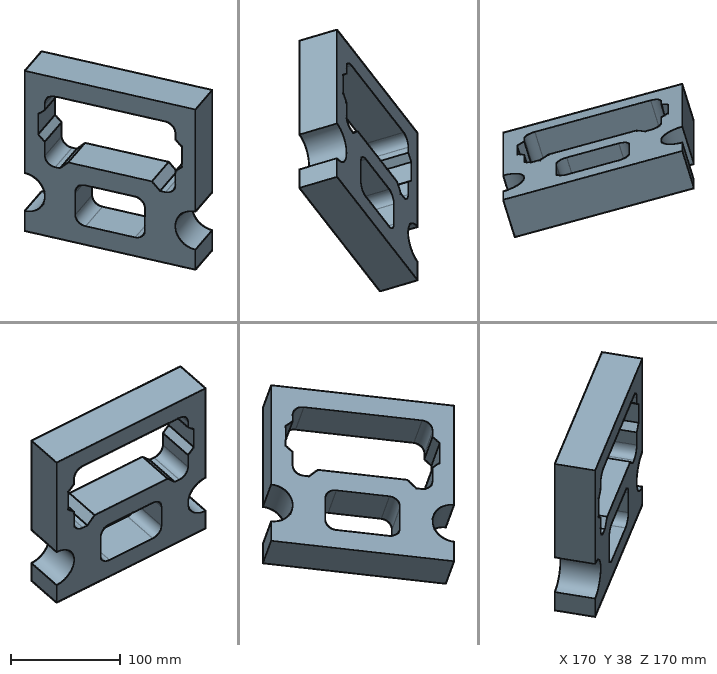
import cadquery as cq

side = 170.0
thickness = 38.0
border = 20.0
corner_radius = 10.0

upper_width = side - 2 * border
upper_height = 74.8
upper_top = side - border
upper_bottom = upper_top - upper_height

recess_depth = 6.6
recess_mouth = 33.7
recess_floor = 21.5
recess_z = 116.5

step_height = 8.2
step_base = 99.6
step_top = 83.3

lower_width = 69.4
lower_height = 43.2
lower_z = 41.5
notch_radius = border


def through_prism(sketch):
    """Extrude an XZ outline through the full plate thickness."""
    return sketch.extrude(thickness / 2, both=True)


def rounded_window(width, height, center_z):
    block = through_prism(cq.Workplane("XZ").center(0, center_z).rect(width, height))
    return block.edges("|Y").fillet(corner_radius)


def side_recess(direction):
    wall_x = direction * upper_width / 2
    floor_x = wall_x + direction * recess_depth
    outline = [
        (0, recess_z - recess_mouth / 2),
        (wall_x, recess_z - recess_mouth / 2),
        (floor_x, recess_z - recess_floor / 2),
        (floor_x, recess_z + recess_floor / 2),
        (wall_x, recess_z + recess_mouth / 2),
        (0, recess_z + recess_mouth / 2),
    ]
    return through_prism(cq.Workplane("XZ").polyline(outline).close())


def floor_step():
    step_z = upper_bottom + step_height
    outline = [
        (-step_base / 2, upper_bottom),
        (step_base / 2, upper_bottom),
        (step_top / 2, step_z),
        (-step_top / 2, step_z),
    ]
    return through_prism(cq.Workplane("XZ").polyline(outline).close())


def upper_window():
    window = rounded_window(upper_width, upper_height, (upper_top + upper_bottom) / 2)
    for direction in (-1, 1):
        window = window.union(side_recess(direction))
    return window.cut(floor_step())


plate = through_prism(cq.Workplane("XZ").center(0, side / 2).rect(side, side))
side_notches = through_prism(
    cq.Workplane("XZ").pushPoints([(-side / 2, lower_z), (side / 2, lower_z)]).circle(notch_radius)
)

result = (
    plate.cut(upper_window())
    .cut(rounded_window(lower_width, lower_height, lower_z))
    .cut(side_notches)
)